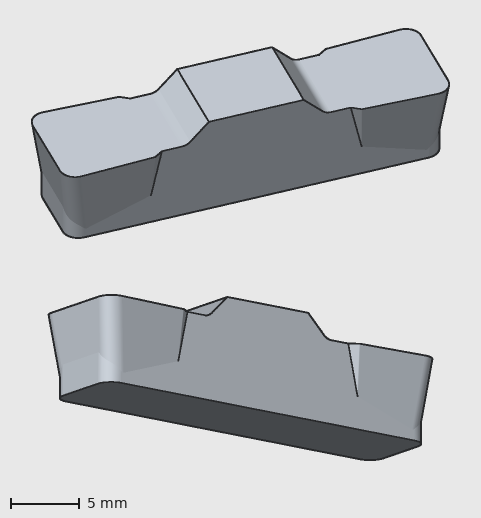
import cadquery as cq
import math

length = 30.25
height = 8.08
deck_height = 6.35
body_width = 6.63
corner_radius = 1.2

crest_half_length = 3.7
ridge_slope = 45.0
ridge_root_radius = 0.9

relief_angle = 7.0
shoulder_y = 8.05
shoulder_half_width = 3.78
waist_y = 7.35
corner_center_x = 2.8
shoulder_radius = 0.12
head_root_half_width = 1.5

body_half_width = body_width / 2
half_length = length / 2
front_drop = 4.0
body_half_length = half_length - front_drop * math.tan(math.radians(relief_angle))


def make_body():
    """Side profile extruded across the width, with rounded vertical corners."""
    foot_y = crest_half_length + (height - deck_height) / math.tan(math.radians(ridge_slope))
    profile = [
        (-body_half_length, 0),
        (body_half_length, 0),
        (body_half_length, deck_height),
        (foot_y, deck_height),
        (crest_half_length, height),
        (-crest_half_length, height),
        (-foot_y, deck_height),
        (-body_half_length, deck_height),
    ]
    body = cq.Workplane("YZ").polyline(profile).close().extrude(body_half_width, both=True)
    for side in (-1, 1):
        root = cq.selectors.NearestToPointSelector((0, side * foot_y, deck_height))
        body = body.edges(root).fillet(ridge_root_radius)
    return body.edges("|Z").fillet(corner_radius)


def make_head():
    """Head at the +Y end, narrowing downward by the relief angle on every side."""
    corner_center_y = half_length - corner_radius
    reach_x = corner_center_x - shoulder_half_width
    reach_y = corner_center_y - shoulder_y
    flank_angle = math.atan2(reach_x, reach_y) + math.asin(corner_radius / math.hypot(reach_x, reach_y))
    front_half_width = shoulder_half_width + (half_length - shoulder_y) * math.tan(flank_angle)

    shoulder_rise = (shoulder_y - waist_y) / (shoulder_half_width - body_half_width)
    root_y = waist_y - (body_half_width - head_root_half_width) * shoulder_rise
    right_side = [
        (head_root_half_width, root_y),
        (shoulder_half_width, shoulder_y),
        (front_half_width, half_length),
    ]
    left_side = [(-x, y) for x, y in reversed(right_side)]
    head = (
        cq.Workplane("XY", origin=(0, 0, deck_height))
        .polyline(right_side + left_side)
        .close()
        .extrude(-deck_height, taper=relief_angle)
    )
    for side in (-1, 1):
        for x, y, radius in (
            (front_half_width, half_length, corner_radius),
            (shoulder_half_width, shoulder_y, shoulder_radius),
        ):
            edge = cq.selectors.NearestToPointSelector((side * x, y, deck_height / 2))
            head = head.edges(edge).fillet(radius)
    return head


head = make_head()
result = make_body().union(head).union(head.mirror("XZ"))